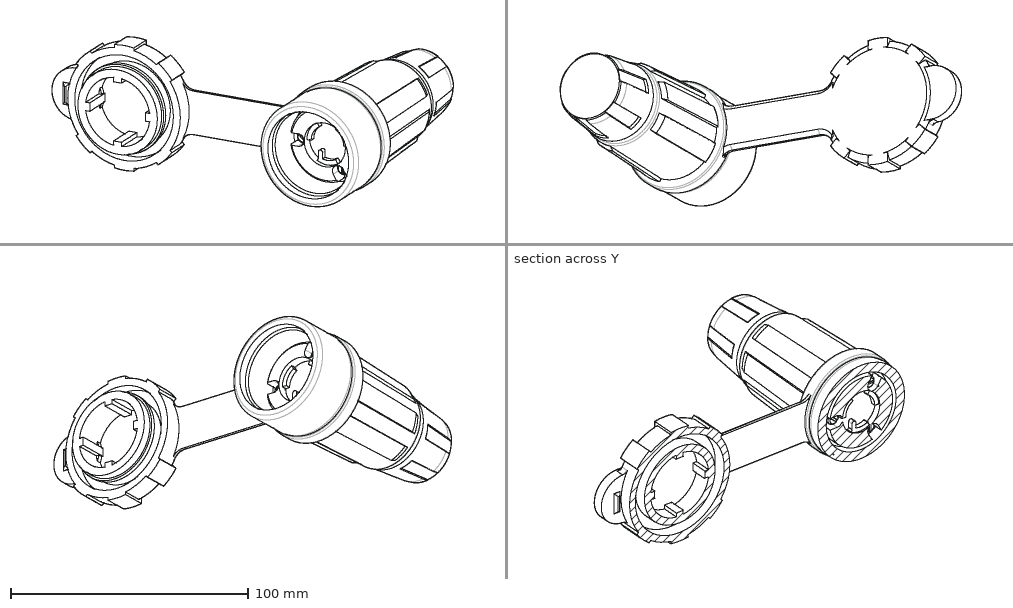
import cadquery as cq
import math


OVERALL_LENGTH = 157.5

BARREL_RADIUS = 23.1
BARREL_LENGTH = 23.0
MOUTH_ROUND = 1.5
BARREL_NECK_RADIUS = 22.7
BARREL_NECK_SLOPE = 1.5
COLLAR_RADIUS = 23.8
COLLAR_END = 29.6
COLLAR_ROUND = 0.6

MOUTH_BORE_RADIUS = 19.2
BORE_RADIUS = 18.5
BORE_STEP_START = 4.0
BORE_STEP_END = 5.0
BORE_FLOOR = 22.0

INSERT_RADIUS = 16.9
INSERT_FACE = 15.0
INSERT_CHAMFER = 1.0
RECESS_RADIUS = 9.8
RECESS_FLOOR = 19.7
LEDGE_FACE = 17.3
LEDGE_INNER_RADIUS = 7.7
LEDGE_ANGLE = 60
KEY_X = -3.3
KEY_WIDTH = 2.0
KEY_TIP = -3.6
CONTACT_CIRCLE_RADIUS = 12.8
NOTCH_WIDTH = 5.5
SCREW_RADIUS = 2.7
SCREW_FACE = 18.9
SCREW_CHAMFER = 0.6
SCREW_SLOT_WIDTH = 1.0
SCREW_SLOT_DEPTH = 1.0
SCREW_SLOT_TURNS = {0: 40, 120: 0, 240: 90}

GRIP_BASE_RADIUS = 19.7
GRIP_TOP_RADIUS = 18.3
GRIP_END = 77.5
GRIP_ROUND = 0.8
PAD_BASE_RADIUS = 21.3
PAD_TOP_RADIUS = 19.7
PAD_START = 31.0
PAD_END = 72.0
PAD_FOOT_START = 30.2
PAD_FOOT_RADIUS = 20.8
PAD_SLOPE_END = 75.3
PAD_ANGLE = 25
PAD_STARTS = (-45, 0, 45, 135, 180, 225)

THREAD_ROOT_RADIUS = 12.0
THREAD_CREST_RADIUS = 12.8
THREAD_PITCH = 1.0
NUT_START = 80.3
NUT_BAND_END = 83.5
GROOVE_FLOOR_START = 84.9
NUT_BEND = 100.3
NUT_END = 104.3
NUT_BASE_RADIUS = 17.3
NUT_BEND_RADIUS = 15.5
NUT_END_RADIUS = 14.6
NUT_EDGE_CHAMFER = 0.5
GROOVE_BASE_RADIUS = 16.2
GROOVE_END_RADIUS = 14.3
GROOVE_COUNT = 6
GROOVE_ANGLE = 22

CAP_X = -96.4
CAP_FRONT = 16.7
CAP_BACK = 28.0
CAP_RADIUS = 26.8
CAP_OVERALL_DIAMETER = 55.9
CAP_BACK_CHAMFER = 1.9
CAP_BACK_RADIUS = 23.6
LOBE_RADIUS = CAP_OVERALL_DIAMETER / 2
LOBE_WIDTH = 9.3
LOBE_ANGLES = (45, 90, 135, 225, 270, 315)
RIM_INNER_RADIUS = 23.5
RIM_DEPTH = 6.0
PLUG_SHOULDER_RADIUS = 19.8
PLUG_SHOULDER_FRONT = 14.8
PLUG_SHOULDER_BACK = CAP_FRONT
PLUG_RADIUS = 18.9
PLUG_FRONT = 10.9
CUP_RADIUS = 15.3
CUP_FLOOR = 24.7
CUP_KEY_WIDTH = 3.8
CUP_KEY_HEIGHT = 2.0

TAB_RADIUS = 11.8
TAB_TIP_X = COLLAR_RADIUS - OVERALL_LENGTH
TAB_FRONT = 22.4
TAB_BACK = 27.2
TAB_ROOT_ROUND = 3.5
TAB_ROOT_BACK = 26.1
CATCH_X = CAP_X - 29.8
CATCH_WIDTH = 3.3
CATCH_LENGTH = 9.9
CATCH_MIDDLE = 21.3
CATCH_TIP = 20.0
CATCH_TAPER = 45
CATCH_NECK_TAPER = 35

STRAP_WIDTH = 19.5
STRAP_FRONT = 24.7
STRAP_BACK = CAP_BACK
STRAP_ROOT_ROUND = 6.3
STRAP_BACK_CHAMFER = 1.9

ROOT_OVERLAP = 1.5
ROOT_SINK = 0.08


def turned(profile, start=0, sweep=360):
    """Revolve a (radius, y) outline about the Y axis, from the start angle through the sweep."""
    body = cq.Workplane("XY").polyline(profile).close().revolve(sweep, (0, 0, 0), (0, 1, 0))
    return body.rotate((0, 0, 0), (0, 1, 0), 180 + start)


def ring_sector(inner, outer, front, back, start, sweep):
    outline = [(inner, front), (outer, front), (outer, back), (inner, back)]
    return turned(outline, start, sweep)


def disc(radius, front, back, x=0, z=0):
    return cq.Workplane("XZ", origin=(x, front, z)).circle(radius).extrude(front - back)


def block(x_range, y_range, z_range):
    sizes = [high - low for low, high in (x_range, y_range, z_range)]
    corner = (x_range[0], y_range[0], z_range[0])
    return cq.Workplane("XY").box(*sizes, centered=False).translate(corner)


def around_axis(body, angle):
    """Turn a body that lies on the -X side of the Y axis to the given angle."""
    return body.rotate((0, 0, 0), (0, 1, 0), angle)


def make_shell():
    barrel = turned([
        (0, 0), (BARREL_RADIUS, 0), (BARREL_RADIUS, BARREL_LENGTH - BARREL_NECK_SLOPE),
        (BARREL_NECK_RADIUS, BARREL_LENGTH), (0, BARREL_LENGTH),
    ]).faces("<Y").edges().fillet(MOUTH_ROUND)
    collar = disc(COLLAR_RADIUS, BARREL_LENGTH, COLLAR_END).edges().fillet(COLLAR_ROUND)
    bore = turned([
        (0, 0), (MOUTH_BORE_RADIUS, 0), (MOUTH_BORE_RADIUS, BORE_STEP_START),
        (BORE_RADIUS, BORE_STEP_END), (BORE_RADIUS, BORE_FLOOR), (0, BORE_FLOOR),
    ])
    return barrel.union(collar).cut(bore)


def make_screw(angle):
    x = -CONTACT_CIRCLE_RADIUS * math.cos(math.radians(angle))
    z = CONTACT_CIRCLE_RADIUS * math.sin(math.radians(angle))
    half_slot = SCREW_SLOT_WIDTH / 2
    slot_floor = SCREW_FACE + SCREW_SLOT_DEPTH
    slot = block((-SCREW_RADIUS, SCREW_RADIUS), (SCREW_FACE, slot_floor), (-half_slot, half_slot))
    slot = around_axis(slot, SCREW_SLOT_TURNS[angle]).translate((x, 0, z))
    screw = disc(SCREW_RADIUS, SCREW_FACE, BORE_FLOOR, x, z).faces("<Y").edges().chamfer(SCREW_CHAMFER)
    return screw.cut(slot)


def make_insert():
    insert = disc(INSERT_RADIUS, INSERT_FACE, BORE_FLOOR).faces("<Y").edges().chamfer(INSERT_CHAMFER)
    insert = insert.cut(disc(RECESS_RADIUS, INSERT_FACE, RECESS_FLOOR))

    key_end = disc(KEY_WIDTH / 2, LEDGE_FACE, RECESS_FLOOR, KEY_X, KEY_TIP - KEY_WIDTH / 2)
    key_side = (KEY_X - KEY_WIDTH / 2, KEY_X + KEY_WIDTH / 2)
    key = block(key_side, (LEDGE_FACE, RECESS_FLOOR), (-RECESS_RADIUS, KEY_TIP - KEY_WIDTH / 2))
    insert = insert.union(key.union(key_end).intersect(disc(RECESS_RADIUS, LEDGE_FACE, RECESS_FLOOR)))

    half_notch = NOTCH_WIDTH / 2
    notch = block((-BORE_RADIUS, -CONTACT_CIRCLE_RADIUS), (INSERT_FACE, BORE_FLOOR), (-half_notch, half_notch))
    notch = notch.union(disc(half_notch, INSERT_FACE, BORE_FLOOR, -CONTACT_CIRCLE_RADIUS))
    for angle in SCREW_SLOT_TURNS:
        ledge = ring_sector(LEDGE_INNER_RADIUS, RECESS_RADIUS, LEDGE_FACE, RECESS_FLOOR, angle, LEDGE_ANGLE)
        insert = insert.union(ledge).cut(around_axis(notch, angle))
    return insert


def make_grip():
    grip = turned([
        (0, COLLAR_END), (GRIP_BASE_RADIUS, COLLAR_END), (GRIP_TOP_RADIUS, GRIP_END), (0, GRIP_END),
    ]).faces(">Y").edges().fillet(GRIP_ROUND)
    buried_radius = GRIP_TOP_RADIUS - GRIP_ROUND
    pad_outline = [
        (buried_radius, PAD_FOOT_START), (PAD_FOOT_RADIUS, PAD_FOOT_START), (PAD_BASE_RADIUS, PAD_START),
        (PAD_TOP_RADIUS, PAD_END), (GRIP_TOP_RADIUS, PAD_SLOPE_END), (buried_radius, PAD_SLOPE_END),
    ]
    for start in PAD_STARTS:
        grip = grip.union(turned(pad_outline, start, PAD_ANGLE))
    return grip


def make_neck():
    neck = disc(THREAD_ROOT_RADIUS, GRIP_END, NUT_START)
    middle = (GRIP_END + NUT_START) / 2
    for crest in (middle - THREAD_PITCH / 2, middle + THREAD_PITCH / 2):
        neck = neck.union(turned([
            (0, crest - THREAD_PITCH / 2), (THREAD_ROOT_RADIUS, crest - THREAD_PITCH / 2),
            (THREAD_CREST_RADIUS, crest),
            (THREAD_ROOT_RADIUS, crest + THREAD_PITCH / 2), (0, crest + THREAD_PITCH / 2),
        ]))
    return neck


def make_nut():
    nut = turned([
        (0, NUT_START), (NUT_BASE_RADIUS, NUT_START), (NUT_BEND_RADIUS, NUT_BEND),
        (NUT_END_RADIUS, NUT_END), (0, NUT_END),
    ]).faces(">Y").edges().chamfer(NUT_EDGE_CHAMFER)
    groove_outline = [
        (GROOVE_BASE_RADIUS, GROOVE_FLOOR_START), (NUT_BASE_RADIUS, NUT_BAND_END),
        (NUT_BASE_RADIUS, NUT_END), (GROOVE_END_RADIUS, NUT_END),
    ]
    for index in range(GROOVE_COUNT):
        nut = nut.cut(turned(groove_outline, index * 360 / GROOVE_COUNT, GROOVE_ANGLE))
    return nut


def make_cap():
    cap = turned([
        (0, CAP_FRONT), (CAP_RADIUS, CAP_FRONT), (CAP_RADIUS, CAP_BACK - CAP_BACK_CHAMFER),
        (CAP_BACK_RADIUS, CAP_BACK), (0, CAP_BACK),
    ])
    lobe = block((-LOBE_RADIUS, -RIM_INNER_RADIUS), (CAP_FRONT, CAP_BACK), (-LOBE_WIDTH / 2, LOBE_WIDTH / 2))
    lobe = lobe.intersect(disc(LOBE_RADIUS, CAP_FRONT, CAP_BACK))
    for angle in LOBE_ANGLES:
        cap = cap.union(around_axis(lobe, angle))
    cap = cap.cut(disc(RIM_INNER_RADIUS, CAP_FRONT, CAP_FRONT + RIM_DEPTH))
    cap = cap.union(disc(PLUG_SHOULDER_RADIUS, PLUG_SHOULDER_FRONT, PLUG_SHOULDER_BACK))
    cap = cap.union(disc(PLUG_RADIUS, PLUG_FRONT, CUP_FLOOR))
    cap = cap.cut(disc(CUP_RADIUS, PLUG_FRONT, CUP_FLOOR))
    cup_key = block(
        (-CUP_RADIUS - ROOT_OVERLAP, -CUP_RADIUS + CUP_KEY_HEIGHT),
        (PLUG_FRONT, CUP_FLOOR),
        (-CUP_KEY_WIDTH / 2, CUP_KEY_WIDTH / 2),
    )
    for angle in (0, 90, 180, 270):
        cap = cap.union(around_axis(cup_key, angle))
    return cap.translate((CAP_X, 0, 0))


def root_arc(radius, half_width, fillet):
    """Start, middle and end of the fillet from a bar's straight edge to the round body it joins.

    Each point is (distance, height) from the body's center, with the bar lying along the distance.
    """
    center_height = half_width + fillet
    reach = radius + fillet
    lean = math.asin(center_height / reach)
    center_distance = reach * math.cos(lean)
    middle_angle = (lean + math.pi / 2) / 2
    start = (center_distance, half_width)
    middle = (
        center_distance - fillet * math.cos(middle_angle),
        center_height - fillet * math.sin(middle_angle),
    )
    end = (radius * math.cos(lean), radius * math.sin(lean))
    return start, middle, end


def make_tab():
    center_x = TAB_TIP_X + TAB_RADIUS
    start, middle, end = root_arc(CAP_RADIUS - ROOT_SINK, TAB_RADIUS, TAB_ROOT_ROUND)
    inside_x = CAP_X - end[0] + ROOT_OVERLAP
    tab = disc(TAB_RADIUS, TAB_FRONT, TAB_BACK, center_x)
    tab = tab.union(block((center_x, inside_x), (TAB_FRONT, TAB_BACK), (-TAB_RADIUS, TAB_RADIUS)))
    root_half = [(CAP_X - x, z) for x, z in (start, middle, end)]
    root = (
        cq.Workplane("XZ", origin=(0, TAB_FRONT, 0))
        .moveTo(root_half[0][0], 0)
        .lineTo(*root_half[0])
        .threePointArc(*root_half[1:])
        .lineTo(inside_x, end[1])
        .lineTo(inside_x, 0)
        .close()
        .extrude(TAB_FRONT - TAB_ROOT_BACK)
    )
    root = root.union(root.mirror("XY"))
    tab = tab.union(root).cut(disc(RIM_INNER_RADIUS, CAP_FRONT, CAP_FRONT + RIM_DEPTH, CAP_X))

    catch_center = (CATCH_X, CATCH_MIDDLE, 0)
    tip = cq.Workplane("XZ", origin=catch_center).rect(CATCH_WIDTH, CATCH_LENGTH)
    tip = tip.extrude(CATCH_MIDDLE - CATCH_TIP, taper=CATCH_TAPER)
    neck = cq.Workplane("ZX", origin=catch_center).rect(CATCH_LENGTH, CATCH_WIDTH)
    neck = neck.extrude(TAB_FRONT - CATCH_MIDDLE, taper=CATCH_NECK_TAPER)
    return tab.union(tip).union(neck)


def make_strap():
    half_width = STRAP_WIDTH / 2
    cap_root = [(CAP_X + x, z) for x, z in root_arc(CAP_RADIUS - ROOT_SINK, half_width, STRAP_ROOT_ROUND)]
    collar_root = [(-x, z) for x, z in root_arc(COLLAR_RADIUS - ROOT_SINK, half_width, STRAP_ROOT_ROUND)]
    cap_start, cap_middle, cap_end = cap_root
    collar_start, collar_middle, collar_end = collar_root
    cap_inside = cap_end[0] - ROOT_OVERLAP
    collar_inside = collar_end[0] + ROOT_OVERLAP
    upper_half = (
        cq.Workplane("XZ", origin=(0, STRAP_FRONT, 0))
        .moveTo(cap_inside, 0)
        .lineTo(cap_inside, cap_end[1])
        .lineTo(*cap_end)
        .threePointArc(cap_middle, cap_start)
        .lineTo(*collar_start)
        .threePointArc(collar_middle, collar_end)
        .lineTo(collar_inside, collar_end[1])
        .lineTo(collar_inside, 0)
        .close()
        .extrude(STRAP_FRONT - STRAP_BACK)
    )
    strap = upper_half.union(upper_half.mirror("XY")).clean()
    return strap.faces(">Y").edges("%CIRCLE or |X").chamfer(STRAP_BACK_CHAMFER)


result = make_shell().union(make_insert())
for screw_angle in SCREW_SLOT_TURNS:
    result = result.union(make_screw(screw_angle))
for section in (make_grip(), make_neck(), make_nut(), make_strap(), make_cap(), make_tab()):
    result = result.union(section)